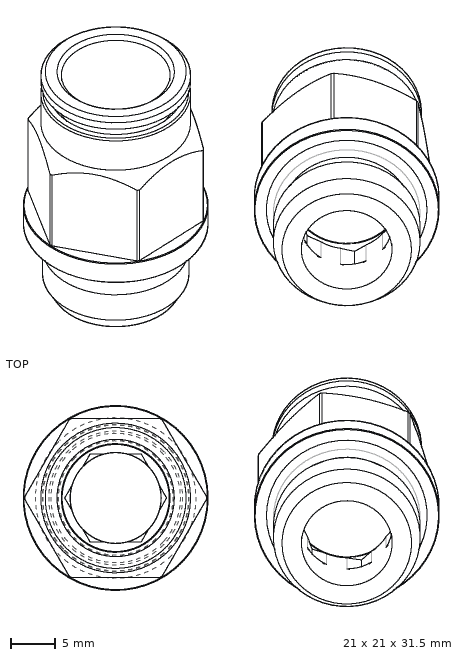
import cadquery as cq
import math


spigot_lead_top = 1.75
spigot_top = 5.5
neck_bottom = 6.55
collar_bottom = 9.05
collar_top = 11.9
shoulder_z = 24.0
housing_top = 28.55
overall_height = 31.5

neck_dia = 14.7
spigot_dia = 16.65
collar_dia = 21.0
collar_chamfer = 0.1
barrel_dia = 17.0
rim_chamfer = 0.22

hex_flats = 18.02
hex_corner_dia = 20.63
hex_bevel_drop = 1.7

through_dia = 10.3
tube_bore_dia = 12.15
socket_flats = 10.02
socket_floor = 5.5
seat_bottom = 9.1
seat_half_angle = math.radians(60)
seat_cone_height = (tube_bore_dia - through_dia) / 2 / math.tan(seat_half_angle)
mouth_dia = 15.2
mouth_depth = 1.58

sleeve_dia = 13.0
sleeve_bore_dia = 12.35
sleeve_bottom = collar_top
sleeve_head_dia = barrel_dia
sleeve_head_bottom = 30.05
sleeve_root_chamfer = 0.13
sleeve_head_chamfer = 0.5
sleeve_mouth_dia = 13.32

seal_bottom = 8.25
seal_dia = 18.25


def revolved(points):
    """Solid of revolution about Z from (radius, height) points."""
    return cq.Workplane("XZ").polyline(points).close().revolve(360, (0, 0, 0), (0, 1, 0))


def hex_prism(across_flats, bottom, top):
    """Hexagonal prism with two of its corners on the X axis."""
    across_corners = across_flats / math.cos(math.pi / 6)
    return cq.Workplane("XY").workplane(offset=bottom).polygon(6, across_corners).extrude(top - bottom)


def make_turned_body():
    """Spigot, neck, collar and barrel, without the bore."""
    neck_r = neck_dia / 2
    spigot_r = spigot_dia / 2
    collar_r = collar_dia / 2
    barrel_r = barrel_dia / 2
    return revolved([
        (0, 0),
        (neck_r, 0),
        (spigot_r, spigot_lead_top),
        (spigot_r, spigot_top),
        (neck_r, neck_bottom),
        (neck_r, collar_bottom),
        (collar_r - collar_chamfer, collar_bottom),
        (collar_r, collar_bottom + collar_chamfer),
        (collar_r, collar_top - collar_chamfer),
        (collar_r - collar_chamfer, collar_top),
        (barrel_r, collar_top),
        (barrel_r, housing_top - rim_chamfer),
        (barrel_r - rim_chamfer, housing_top),
        (0, housing_top),
    ])


def make_wrench_hexagon():
    """Hexagon cut back by a turned envelope with a conical top."""
    corner_r = hex_corner_dia / 2
    envelope = revolved([
        (0, collar_top),
        (corner_r, collar_top),
        (corner_r, shoulder_z - hex_bevel_drop),
        (barrel_dia / 2, shoulder_z),
        (0, shoulder_z),
    ])
    return hex_prism(hex_flats, collar_top, shoulder_z).intersect(envelope)


def make_bore():
    """Stepped bore: through hole, conical seat, tube bore, sleeve recess and wider mouth."""
    return revolved([
        (0, 0),
        (through_dia / 2, 0),
        (through_dia / 2, seat_bottom),
        (tube_bore_dia / 2, seat_bottom + seat_cone_height),
        (tube_bore_dia / 2, sleeve_bottom),
        (sleeve_dia / 2, sleeve_bottom),
        (sleeve_dia / 2, housing_top - mouth_depth),
        (mouth_dia / 2, housing_top - mouth_depth),
        (mouth_dia / 2, housing_top),
        (0, housing_top),
    ])


def make_housing():
    hex_socket = hex_prism(socket_flats, socket_floor, sleeve_bottom)
    return make_turned_body().union(make_wrench_hexagon()).cut(make_bore()).cut(hex_socket)


def make_release_sleeve():
    """Thin sleeve with a flanged head and a flared mouth."""
    sleeve_r = sleeve_dia / 2
    head_r = sleeve_head_dia / 2
    bore_r = sleeve_bore_dia / 2
    mouth_r = sleeve_mouth_dia / 2
    flare = mouth_r - bore_r
    return revolved([
        (bore_r, sleeve_bottom),
        (sleeve_r, sleeve_bottom),
        (sleeve_r, sleeve_head_bottom - sleeve_root_chamfer),
        (sleeve_r + sleeve_root_chamfer, sleeve_head_bottom),
        (head_r, sleeve_head_bottom),
        (head_r, overall_height - sleeve_head_chamfer),
        (head_r - sleeve_head_chamfer, overall_height),
        (mouth_r, overall_height),
        (bore_r, overall_height - flare),
    ])


def make_seal():
    """Sealing ring around the neck, its outer side one quarter round."""
    neck_r = neck_dia / 2
    seal_r = seal_dia / 2
    round_r = collar_bottom - seal_bottom
    arc_inset = round_r * (1 - math.cos(math.pi / 4))
    return (
        cq.Workplane("XZ")
        .moveTo(neck_r, collar_bottom)
        .lineTo(neck_r, seal_bottom)
        .lineTo(seal_r - round_r, seal_bottom)
        .threePointArc((seal_r - arc_inset, seal_bottom + arc_inset), (seal_r, collar_bottom))
        .close()
        .revolve(360, (0, 0, 0), (0, 1, 0))
    )


housing = make_housing()
release_sleeve = make_release_sleeve()
seal = make_seal()

result = cq.Compound.makeCompound([housing.val(), release_sleeve.val(), seal.val()])